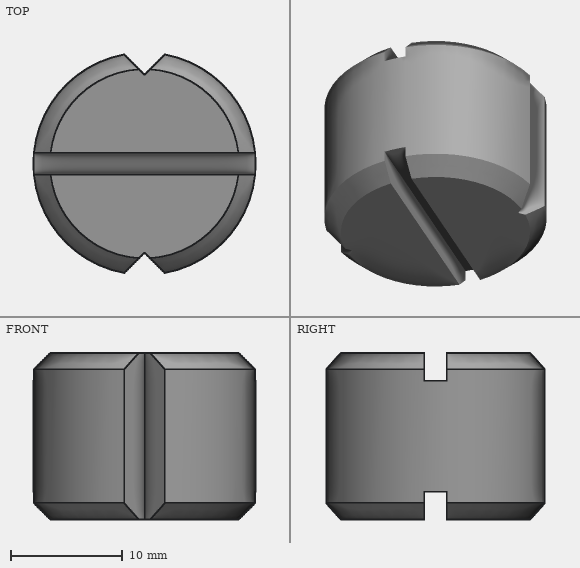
import cadquery as cq

diameter = 19.99
height = 15.0
edge_chamfer = 1.5
slot_width = 2.0
slot_depth = 2.5
groove_root_radius = 8.0

radius = diameter / 2
groove_half_width = radius - groove_root_radius


def plug_body():
    """Cylinder standing on the XY plane with both rims chamfered."""
    return cq.Workplane("XY").circle(radius).extrude(height).edges().chamfer(edge_chamfer)


def screwdriver_slot(floor_height):
    """Cutter for a slot along X across the full diameter of one end face."""
    return (
        cq.Workplane("XY")
        .workplane(offset=floor_height)
        .rect(diameter, slot_width)
        .extrude(slot_depth)
    )


def side_groove(side):
    """Cutter for a full-height V groove on the +Y (side=1) or -Y (side=-1) flank."""
    return (
        cq.Workplane("XY")
        .moveTo(0, side * groove_root_radius)
        .lineTo(groove_half_width, side * radius)
        .lineTo(-groove_half_width, side * radius)
        .close()
        .extrude(height)
    )


result = plug_body()
for slot_floor in (0, height - slot_depth):
    result = result.cut(screwdriver_slot(slot_floor))
for groove_side in (-1, 1):
    result = result.cut(side_groove(groove_side))